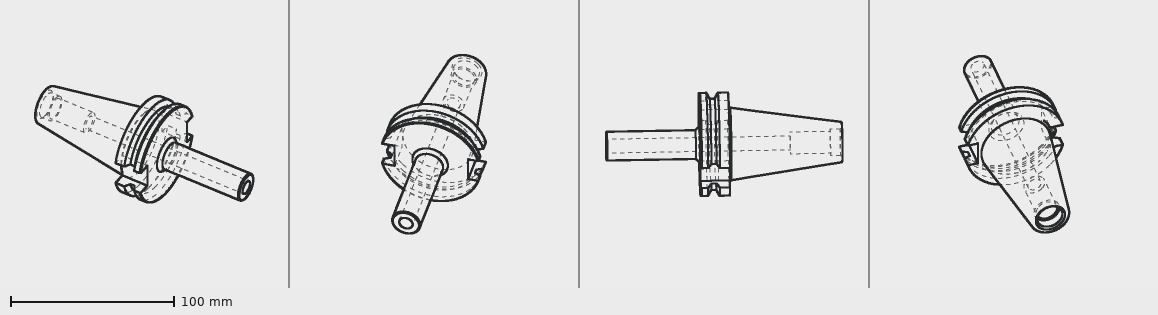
import cadquery as cq
import math

total_length = 144.5
gauge_x = 67.8
flange_start = 69.4
flange_end = 87.3
neck_end = 89.8

gauge_radius = 44.5 / 2
taper_ratio = 7 / 24
small_end_radius = gauge_radius - gauge_x * taper_ratio / 2
small_end_fillet = 1.5

land_end = 68.2
blend_length = flange_start - land_end
blend_height = 1.6
blend_radius = (blend_length**2 + blend_height**2) / (2 * blend_length)

flange_radius = 63.3 / 2
flange_chamfer = 0.7
flange_chamfer_depth = 0.3
groove_floor_radius = 28.0
groove_mid_x = 79.2
groove_floor_width = 3.0
groove_flank_angle = 30.0
groove_flank_width = (flange_radius - groove_floor_radius) * math.tan(math.radians(groove_flank_angle))

neck_radius = 11.3
shank_radius = 17.8 / 2
shank_chamfer = 0.6

slot_width = 16.3
front_slot_floor = 22.5
back_slot_floor = 24.1

mouth_radius = 9.4
pilot_radius = 16.2 / 2
mouth_depth = 1.2
pilot_depth = 7.2
thread_radius = 13.5 / 2
thread_depth = 31.8
through_radius = 8.5 / 2


def make_body():
    """Revolved taper, flange and shank."""
    groove_floor_half = groove_floor_width / 2
    groove_mouth_half = groove_floor_half + groove_flank_width
    profile = (
        cq.Workplane("XY")
        .lineTo(0, small_end_radius)
        .lineTo(gauge_x, gauge_radius)
        .lineTo(land_end, gauge_radius)
        .radiusArc((flange_start, gauge_radius + blend_height), -blend_radius)
        .lineTo(flange_start, flange_radius)
        .lineTo(groove_mid_x - groove_mouth_half, flange_radius)
        .lineTo(groove_mid_x - groove_floor_half, groove_floor_radius)
        .lineTo(groove_mid_x + groove_floor_half, groove_floor_radius)
        .lineTo(groove_mid_x + groove_mouth_half, flange_radius)
        .lineTo(flange_end - flange_chamfer, flange_radius)
        .lineTo(flange_end, flange_radius - flange_chamfer_depth)
        .lineTo(flange_end, neck_radius)
        .lineTo(neck_end, shank_radius)
        .lineTo(total_length - shank_chamfer, shank_radius)
        .lineTo(total_length, shank_radius - shank_chamfer)
        .lineTo(total_length, 0)
        .close()
    )
    body = profile.revolve(360, (0, 0, 0), (1, 0, 0))
    return body.faces("<X").edges().fillet(small_end_fillet)


def make_bore():
    """Countersunk pilot, thread bore and through hole."""
    return (
        cq.Workplane("XY")
        .lineTo(0, mouth_radius)
        .lineTo(mouth_depth, pilot_radius)
        .lineTo(pilot_depth, pilot_radius)
        .lineTo(pilot_depth, thread_radius)
        .lineTo(thread_depth, thread_radius)
        .lineTo(thread_depth, through_radius)
        .lineTo(total_length, through_radius)
        .lineTo(total_length, 0)
        .close()
        .revolve(360, (0, 0, 0), (1, 0, 0))
    )


def make_slot(side, floor_distance):
    """Drive slot through the flange; side is -1 for -Y and +1 for +Y."""
    slot_depth = flange_radius - floor_distance
    return (
        cq.Workplane("XY")
        .box(flange_end - gauge_x, slot_depth, slot_width, centered=(False, True, True))
        .translate((gauge_x, side * (floor_distance + slot_depth / 2), 0))
    )


result = (
    make_body()
    .cut(make_bore())
    .cut(make_slot(-1, front_slot_floor))
    .cut(make_slot(1, back_slot_floor))
)